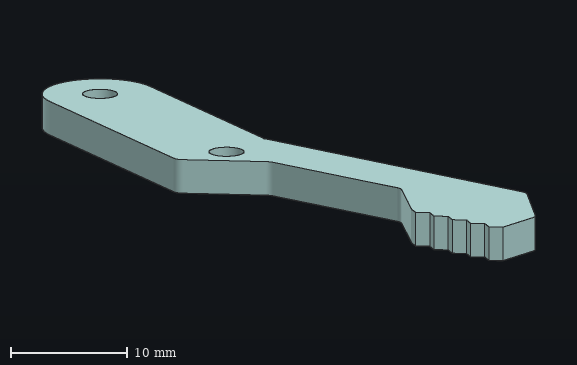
import cadquery as cq

thickness = 3.0
end_radius = 5.0
hole_diameter = 3.0
hole_spacing = 21.95

upper_bend = (19.7, end_radius)
head_peak = (46.45, 15.8)
nose_corner = (53.7, 12.55)
lower_bend = (39.9, 7.05)
neck_corner = (26.65, 1.6)
bottom_corner = (22.0, -end_radius)
corner_radius = 1.0

tooth_count = 5
tooth_pitch_x = 1.8
tooth_pitch_y = 0.8
tooth_tip_x = 1.15
tooth_tip_drop = 0.25
first_root = (46.25, 4.45)


def tooth_root(index):
    """Root where the given tooth starts."""
    return (first_root[0] + index * tooth_pitch_x, first_root[1] + index * tooth_pitch_y)


def arm_outline():
    """Closed outline, running clockwise from the rounded end."""
    outline = (
        cq.Workplane("XY")
        .moveTo(0, -end_radius)
        .threePointArc((-end_radius, 0), (0, end_radius))
        .lineTo(*upper_bend)
        .lineTo(*head_peak)
        .lineTo(*nose_corner)
        .lineTo(*tooth_root(tooth_count))
    )
    for tooth in reversed(range(tooth_count)):
        root_x, root_y = tooth_root(tooth)
        outline = outline.lineTo(root_x + tooth_tip_x, root_y - tooth_tip_drop)
        outline = outline.lineTo(root_x, root_y)
    for corner in (lower_bend, neck_corner, bottom_corner):
        outline = outline.lineTo(*corner)
    return outline.close()


def round_corner(body, corner):
    """Round the upright edge at one outline corner."""
    edge_middle = (*corner, thickness / 2)
    nearest = cq.selectors.NearestToPointSelector(edge_middle)
    return body.edges("|Z").edges(nearest).fillet(corner_radius)


arm = arm_outline().extrude(thickness)
for rounded in (head_peak, nose_corner, lower_bend, neck_corner, bottom_corner):
    arm = round_corner(arm, rounded)

hole_centers = [(0, 0), (hole_spacing, 0)]
holes = (
    cq.Workplane("XY")
    .pushPoints(hole_centers)
    .circle(hole_diameter / 2)
    .extrude(thickness)
)
result = arm.cut(holes)